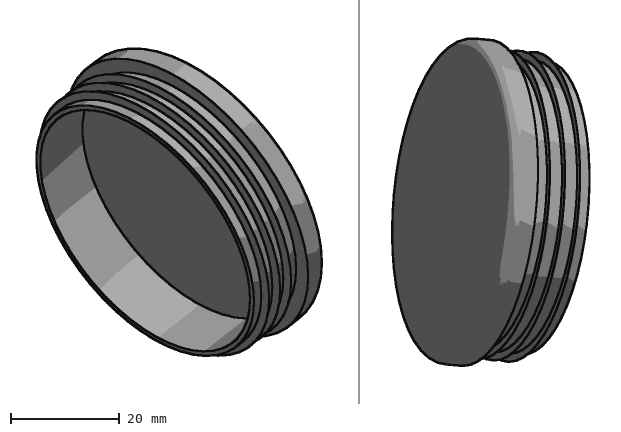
import cadquery as cq

flange_diameter = 60.3
flange_thickness = 5.0
flange_edge_radius = 2.0
total_length = 16.5

tube_wall = 3.0
barrel_wall = 1.0
cap_thickness = 5.0

fin_count = 3
fin_height = 1.5
fin_base_thickness = 0.5
first_fin_offset = 3.0
fin_pitch = 3.0
full_turn = 360.0

flange_radius = flange_diameter / 2
barrel_radius = flange_radius - tube_wall
cavity_radius = barrel_radius - barrel_wall
fin_radius = barrel_radius + fin_height
barrel_end = flange_thickness - total_length
cavity_floor = flange_thickness - cap_thickness


def make_flange():
    disc = cq.Workplane("XZ").circle(flange_radius).extrude(-flange_thickness)
    return disc.faces(">Y").edges().fillet(flange_edge_radius)


def make_barrel():
    return cq.Workplane("XZ").circle(barrel_radius).extrude(-barrel_end)


def make_fin(flat_side):
    """Sharp sealing fin: flat toward the flange, sloped toward the open end."""
    return (
        cq.Workplane("XY")
        .moveTo(cavity_radius, flat_side)
        .lineTo(fin_radius, flat_side)
        .lineTo(barrel_radius, flat_side - fin_base_thickness)
        .lineTo(cavity_radius, flat_side - fin_base_thickness)
        .close()
        .revolve(full_turn, (0, 0, 0), (0, 1, 0))
    )


def make_cavity():
    depth = cavity_floor - barrel_end
    return (
        cq.Workplane("XZ", origin=(0, cavity_floor, 0))
        .circle(cavity_radius)
        .extrude(depth)
    )


result = make_flange().union(make_barrel())
for index in range(fin_count):
    result = result.union(make_fin(-first_fin_offset - index * fin_pitch))
result = result.cut(make_cavity())